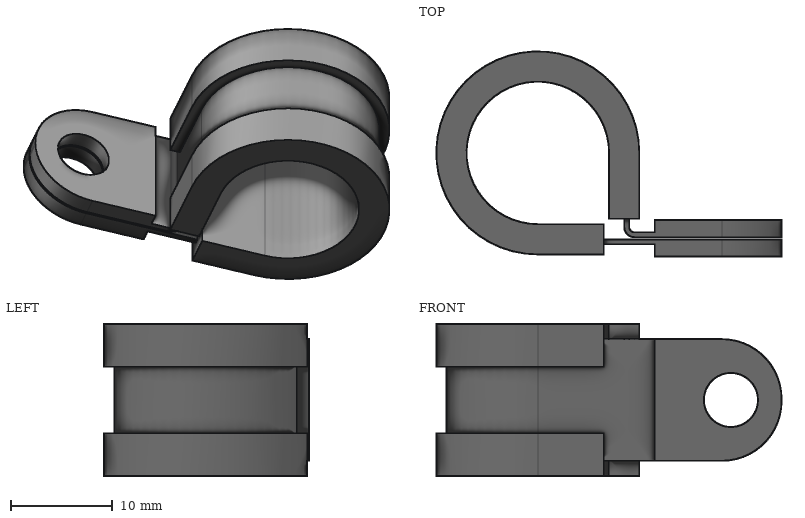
import cadquery as cq
import math


cushion_inner_radius = 7.0
cushion_outer_radius = 10.0
cushion_width = 15.0
cushion_arm_length = 6.5
groove_width = 6.5

band_inner_radius = 8.5
band_thickness = 0.5
band_outer_radius = band_inner_radius + band_thickness
band_width = 12.0
bend_outer_radius = 1.0
bend_inner_radius = bend_outer_radius - band_thickness

tab_thickness = 1.7
tab_gap = 0.2
tab_start_x = 11.5
tab_corner_radius = 5.9
tab_end_x = 24.0
tab_arc_x = tab_end_x - tab_corner_radius
hole_diameter = 5.3
hole_x = 19.0

lower_tab_face_y = -band_inner_radius
upper_tab_face_y = lower_tab_face_y + tab_gap


def extrude_centred(outline, width):
    """Extrude an XY outline symmetrically about Z = 0."""
    return outline.extrude(width / 2, both=True)


def loop_strip(inner_radius, outer_radius, width):
    """Three-quarter ring with a straight arm running on from each end."""
    diagonal = math.sqrt(0.5)
    outline = (
        cq.Workplane("XY")
        .moveTo(outer_radius, -cushion_arm_length)
        .lineTo(outer_radius, 0)
        .threePointArc((-outer_radius * diagonal, outer_radius * diagonal), (0, -outer_radius))
        .lineTo(cushion_arm_length, -outer_radius)
        .lineTo(cushion_arm_length, -inner_radius)
        .lineTo(0, -inner_radius)
        .threePointArc((-inner_radius * diagonal, inner_radius * diagonal), (inner_radius, 0))
        .lineTo(inner_radius, -cushion_arm_length)
        .close()
    )
    return extrude_centred(outline, width)


def make_cushioned_loop():
    """Cushion whose outer groove reaches down to the outside of the band."""
    cushion = loop_strip(cushion_inner_radius, cushion_outer_radius, cushion_width)
    groove = loop_strip(band_outer_radius, cushion_outer_radius, groove_width)
    return cushion.cut(groove)


def make_lower_leg():
    """Straight band from the lower arm to its tab."""
    outline = (
        cq.Workplane("XY")
        .moveTo(cushion_arm_length, -band_inner_radius)
        .lineTo(tab_start_x, -band_inner_radius)
        .lineTo(tab_start_x, -band_outer_radius)
        .lineTo(cushion_arm_length, -band_outer_radius)
        .close()
    )
    return extrude_centred(outline, band_width)


def make_upper_leg():
    """Band leaving the upper arm downwards and bending towards its tab."""
    strip_top_y = upper_tab_face_y + band_thickness
    bend_x = band_inner_radius + bend_outer_radius
    bend_y = upper_tab_face_y + bend_outer_radius
    outline = (
        cq.Workplane("XY")
        .moveTo(band_inner_radius, -cushion_arm_length)
        .lineTo(band_inner_radius, bend_y)
        .radiusArc((bend_x, upper_tab_face_y), -bend_outer_radius)
        .lineTo(tab_start_x, upper_tab_face_y)
        .lineTo(tab_start_x, strip_top_y)
        .lineTo(bend_x, strip_top_y)
        .radiusArc((band_outer_radius, bend_y), bend_inner_radius)
        .lineTo(band_outer_radius, -cushion_arm_length)
        .close()
    )
    return extrude_centred(outline, band_width)


def make_tab(bottom_y):
    """Round-ended plate with a bolt hole, lying between bottom_y and the plate thickness above it."""
    half_width = band_width / 2
    half_flat = half_width - tab_corner_radius
    base = cq.Workplane("XZ", origin=(0, bottom_y, 0))
    plate = (
        base.moveTo(tab_start_x, -half_width)
        .lineTo(tab_arc_x, -half_width)
        .radiusArc((tab_end_x, -half_flat), -tab_corner_radius)
        .lineTo(tab_end_x, half_flat)
        .radiusArc((tab_arc_x, half_width), -tab_corner_radius)
        .lineTo(tab_start_x, half_width)
        .close()
        .extrude(-tab_thickness)
    )
    hole = base.center(hole_x, 0).circle(hole_diameter / 2).extrude(-tab_thickness)
    return plate.cut(hole)


result = (
    make_cushioned_loop()
    .union(make_lower_leg())
    .union(make_upper_leg())
    .union(make_tab(lower_tab_face_y - tab_thickness))
    .union(make_tab(upper_tab_face_y))
)